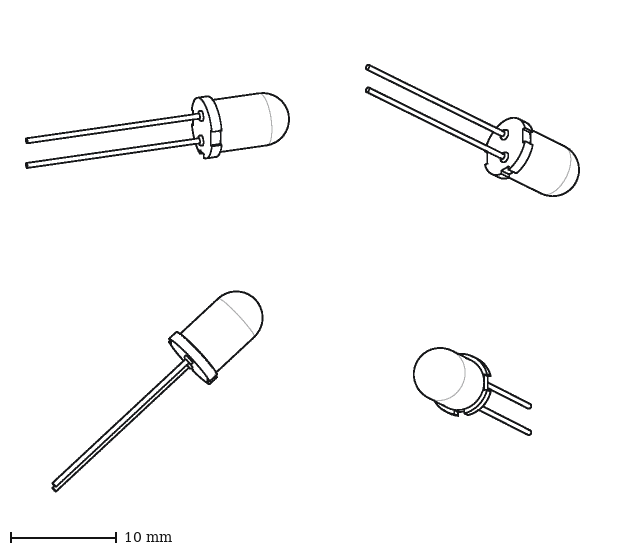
import cadquery as cq

overall_length = 26.15
lens_diameter = 5.0
lens_height = 8.6
flange_diameter = 5.8
flange_thickness = 1.0
side_notch_height = 1.5
bottom_notch_width = 1.0
lead_diameter = 0.5
lead_pitch = 2.54
bead_diameter = 1.0
bead_height = 0.25
bead_rounding = 0.2

lens_radius = lens_diameter / 2
flange_radius = flange_diameter / 2
lead_radius = lead_diameter / 2
bead_radius = bead_diameter / 2
lead_length = overall_length - lens_height


def cylinder(radius, y_start, y_end, z=0):
    """Solid cylinder along +Y between two Y positions."""
    start = cq.Vector(0, y_start, z)
    return cq.Workplane(cq.Solid.makeCylinder(radius, y_end - y_start, start, cq.Vector(0, 1, 0)))


def make_lens():
    """Cylindrical lens body with a hemispherical tip."""
    dome_start = lens_height - lens_radius
    barrel = cylinder(lens_radius, 0, dome_start)
    dome = cq.Workplane("XZ").sphere(lens_radius).translate((0, dome_start, 0))
    return barrel.union(dome)


def make_flange():
    """Flange disc notched down to the lens radius on both sides and at the bottom."""
    flange = cylinder(flange_radius, 0, flange_thickness)
    notch_reach = flange_radius
    for side in (-1, 1):
        notch = cq.Workplane("XY").box(notch_reach, flange_thickness, side_notch_height)
        offset = side * (lens_radius + notch_reach / 2)
        flange = flange.cut(notch.translate((offset, flange_thickness / 2, 0)))
    notch = cq.Workplane("XY").box(bottom_notch_width, flange_thickness, notch_reach)
    offset = -(lens_radius + notch_reach / 2)
    return flange.cut(notch.translate((0, flange_thickness / 2, offset)))


def make_lead(z):
    """Round lead with a rounded bead where it leaves the flange."""
    lead = cylinder(lead_radius, -lead_length, flange_thickness, z)
    bead = cylinder(bead_radius, -bead_height, flange_thickness, z)
    bead = bead.faces("<Y").edges().fillet(bead_rounding)
    return lead.union(bead)


result = make_lens().union(make_flange())
for z in (-lead_pitch / 2, lead_pitch / 2):
    result = result.union(make_lead(z))